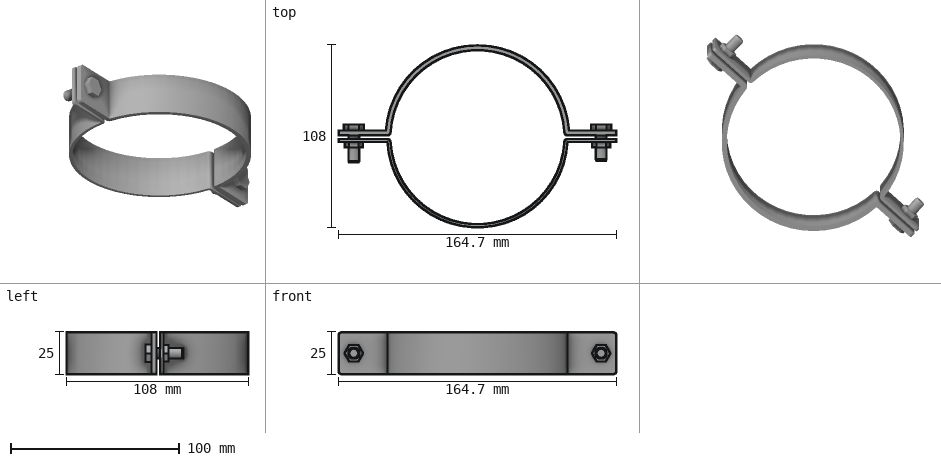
import cadquery as cq
import math

pipe_radius = 51.5
band_height = 25.0
back_thickness = 3.0
front_thickness = 2.0
band_gap = 2.0
overall_length = 164.71
bend_radius = 2.2
ear_corner_radius = 2.0

screw_spacing = 146.6
shank_diameter = 6.5
tip_chamfer_axial = 1.0
tip_chamfer_radial = 0.5
head_across_flats = 10.5
head_height = 3.6
nut_across_flats = 9.5
nut_height = 3.0
left_tip_y = -15.0
right_tip_y = -14.0

half_gap = band_gap / 2
pick_margin = half_gap / 10
half_length = overall_length / 2
half_spacing = screw_spacing / 2
back_ear_face_y = half_gap + back_thickness
front_ear_face_y = -half_gap - front_thickness


def make_band(thickness, side):
    """Half ring with two ears; side is +1 for the back (+Y) band and -1 for the front band."""
    outer_radius = pipe_radius + thickness
    mating_y = side * half_gap
    ear_y = side * (half_gap + thickness)
    inner_x = math.sqrt(pipe_radius**2 - half_gap**2)
    outer_x = math.sqrt(outer_radius**2 - ear_y**2)
    band = (
        cq.Workplane("XY")
        .workplane(offset=-band_height / 2)
        .moveTo(-half_length, mating_y)
        .lineTo(-inner_x, mating_y)
        .threePointArc((0, side * pipe_radius), (inner_x, mating_y))
        .lineTo(half_length, mating_y)
        .lineTo(half_length, ear_y)
        .lineTo(outer_x, ear_y)
        .threePointArc((0, side * outer_radius), (-outer_x, ear_y))
        .lineTo(-half_length, ear_y)
        .close()
        .extrude(band_height)
    )
    bends = cq.selectors.BoxSelector(
        (-pipe_radius, mating_y - pick_margin, -band_height),
        (pipe_radius, mating_y + pick_margin, band_height),
    )
    band = band.edges("|Z").edges(bends).fillet(bend_radius)
    band = band.edges("|Y").edges("<X or >X").fillet(ear_corner_radius)
    holes = (
        cq.Workplane("XZ")
        .pushPoints([(-half_spacing, 0), (half_spacing, 0)])
        .circle(shank_diameter / 2)
        .extrude(back_ear_face_y, both=True)
    )
    return band.cut(holes)


def hexagon(x, start_y, height, across_flats):
    """Hexagonal prism running from start_y toward -Y, with flats facing +Z and -Z."""
    across_corners = across_flats / math.cos(math.pi / 6)
    return (
        cq.Workplane("XZ", origin=(x, start_y, 0))
        .polygon(6, across_corners)
        .extrude(height)
    )


def make_screw(x, tip_y):
    """Screw with its nut as one body, passing through both ears toward -Y."""
    shank = (
        cq.Workplane("XZ", origin=(x, back_ear_face_y, 0))
        .circle(shank_diameter / 2)
        .extrude(back_ear_face_y - tip_y)
        .faces("<Y")
        .chamfer(tip_chamfer_axial, tip_chamfer_radial)
    )
    head = hexagon(x, back_ear_face_y + head_height, head_height, head_across_flats)
    nut = hexagon(x, front_ear_face_y, nut_height, nut_across_flats)
    return shank.union(head).union(nut)


back_band = make_band(back_thickness, 1)
front_band = make_band(front_thickness, -1)
screws = [make_screw(-half_spacing, left_tip_y), make_screw(half_spacing, right_tip_y)]

result = cq.Compound.makeCompound(
    [back_band.val(), front_band.val(), *[screw.val() for screw in screws]]
)